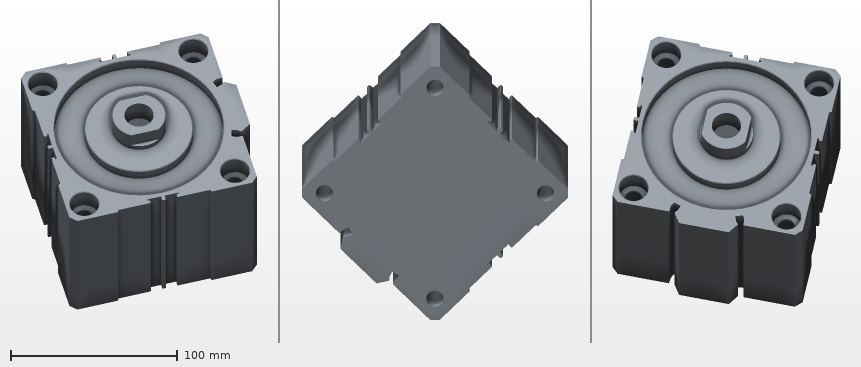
import cadquery as cq

body_width = 117.0
overall_depth = 123.5
body_height = 87.9
half_width = body_width / 2
corner_chamfer = 4.0

relief_depth = 1.5
relief_half_length = 29.3
relief_bevel = 0.7

slot_depth = 3.1
slot_mouth_half = 8.3
slot_undercut_half = 9.6
slot_lip = 2.1
rib_width = 2.2
slot_edge_bevel = 0.31

rail_top = overall_depth - half_width
rail_top_half = 15.3
rail_widest_half = 19.5
rail_waist_half = 17.9
rail_waist_y = 56.5
rail_root_half = 16.8
rail_root_y = 53.2
groove_floor_half = 21.2
groove_floor_y = 51.9
groove_bend_half = 22.6
groove_bend_y = 54.5
groove_mouth_half = 22.8

recess_diameter = 102.0
recess_depth = 8.3
recess_floor = body_height - recess_depth
collar_diameter = 65.0
collar_height = 7.0
rim_chamfer = 0.5

hole_spacing = 94.0
hole_diameter = 10.3
hole_chamfer = 0.5
counterbore_diameter = 17.5
counterbore_depth = 13.0
counterbore_chamfer = 0.5

overall_height = 100.0
rod_diameter = 32.0
rod_chamfer = 0.2
rod_length = overall_height - recess_floor
flat_width = 27.0
flat_height = 9.9
rod_bore_diameter = 17.5
rod_bore_depth = 14.8


def cylinder(diameter, bottom, height):
    """Upright cylinder on the part's centre axis."""
    return cq.Workplane("XY").workplane(offset=bottom).circle(diameter / 2).extrude(height)


def rim_cone(diameter, top, chamfer):
    """Cone on the centre axis that chamfers the upper rim of a hole of the given diameter."""
    rim = cq.Workplane("XY").workplane(offset=top).circle(diameter / 2 + chamfer)
    return rim.extrude(-chamfer, taper=45)


def slotted_side_cut():
    """Relief and sensor slot of the -Y side, over the whole housing height."""
    face = -half_width
    relief_floor = face + relief_depth
    relief = (
        cq.Workplane("XY")
        .moveTo(-relief_half_length, face)
        .lineTo(relief_half_length, face)
        .lineTo(relief_half_length - relief_bevel, relief_floor)
        .lineTo(relief_bevel - relief_half_length, relief_floor)
        .close()
        .extrude(body_height)
    )
    mouth = (
        cq.Workplane("XY")
        .rect(2 * slot_mouth_half, slot_depth)
        .extrude(body_height)
        .translate((0, relief_floor + slot_depth / 2, 0))
    )
    undercut_depth = slot_depth - slot_lip
    undercut = (
        cq.Workplane("XY")
        .rect(2 * slot_undercut_half, undercut_depth)
        .extrude(body_height)
        .translate((0, relief_floor + slot_lip + undercut_depth / 2, 0))
    )
    mouth_bevel = (
        cq.Workplane("XY")
        .moveTo(-slot_mouth_half - slot_edge_bevel, relief_floor)
        .lineTo(slot_mouth_half + slot_edge_bevel, relief_floor)
        .lineTo(slot_mouth_half, relief_floor + slot_edge_bevel)
        .lineTo(-slot_mouth_half, relief_floor + slot_edge_bevel)
        .close()
        .extrude(body_height)
    )
    rib = (
        cq.Workplane("XY")
        .rect(rib_width, slot_depth)
        .extrude(body_height)
        .edges("|Z and <Y")
        .chamfer(slot_edge_bevel)
        .translate((0, relief_floor + slot_depth / 2, 0))
    )
    slot = mouth.union(undercut).union(mouth_bevel).cut(rib)
    return relief.union(slot)


def housing_profile():
    """Square block with chamfered corners, the rail and the three slotted sides."""
    block = (
        cq.Workplane("XY")
        .rect(body_width, body_width)
        .extrude(body_height)
        .edges("|Z")
        .chamfer(corner_chamfer)
    )
    rail = (
        cq.Workplane("XY")
        .moveTo(-rail_widest_half, half_width)
        .lineTo(-rail_top_half, rail_top)
        .lineTo(rail_top_half, rail_top)
        .lineTo(rail_widest_half, half_width)
        .close()
        .extrude(body_height)
    )
    profile = block.union(rail)
    groove = (
        cq.Workplane("XY")
        .moveTo(rail_widest_half, half_width)
        .lineTo(rail_waist_half, rail_waist_y)
        .lineTo(rail_root_half, rail_root_y)
        .lineTo(groove_floor_half, groove_floor_y)
        .lineTo(groove_bend_half, groove_bend_y)
        .lineTo(groove_mouth_half, half_width)
        .close()
        .extrude(body_height)
    )
    profile = profile.cut(groove).cut(groove.mirror("YZ"))
    for angle in (-90, 0, 90):
        profile = profile.cut(slotted_side_cut().rotate((0, 0, 0), (0, 0, 1), angle))
    return profile


def mounting_holes():
    """Four through holes, counterbored from the top, with chamfered rims on both diameters."""
    seat = body_height - counterbore_depth
    hole = (
        cylinder(hole_diameter, 0, body_height)
        .union(rim_cone(hole_diameter, seat, hole_chamfer))
        .union(cylinder(counterbore_diameter, seat, counterbore_depth))
        .union(rim_cone(counterbore_diameter, body_height, counterbore_chamfer))
    )
    centres = cq.Workplane("XY").rect(hole_spacing, hole_spacing, forConstruction=True).vertices()
    return centres.eachpoint(lambda place: hole.val().moved(place))


def make_housing():
    recess = cylinder(recess_diameter, recess_floor, recess_depth)
    collar = cylinder(collar_diameter, recess_floor, collar_height).faces(">Z").chamfer(rim_chamfer)
    recess_rim = rim_cone(recess_diameter, body_height, rim_chamfer)
    rod_hole = cylinder(rod_diameter, recess_floor, collar_height)
    return (
        housing_profile()
        .cut(recess)
        .cut(recess_rim)
        .union(collar)
        .cut(rod_hole)
        .cut(mounting_holes())
    )


def make_rod():
    """Rod standing in the collar, with a blind end bore and two wrench flats."""
    rod = cylinder(rod_diameter, recess_floor, rod_length).faces(">Z").chamfer(rod_chamfer)
    between_flats = (
        cq.Workplane("XY")
        .workplane(offset=overall_height - flat_height)
        .rect(flat_width, rod_diameter)
        .extrude(flat_height)
    )
    flats = cylinder(2 * rod_diameter, overall_height - flat_height, flat_height).cut(between_flats)
    bore = cylinder(rod_bore_diameter, overall_height - rod_bore_depth, rod_bore_depth)
    return rod.cut(flats).cut(bore)


housing = make_housing()
rod = make_rod()
result = cq.Compound.makeCompound([housing.val(), rod.val()])